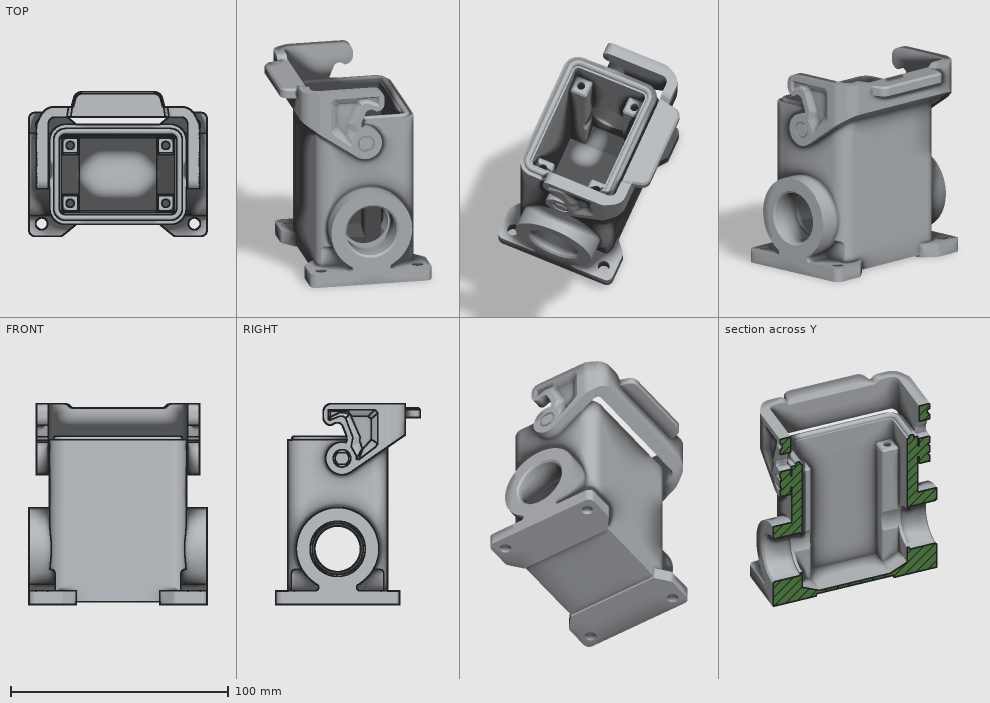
import cadquery as cq
import math

BODY_HALF_X = 31.2
BODY_MID_X = 31.6
BODY_HALF_Y = 23.0
BODY_BOTTOM = 1.2
BODY_TOP = 75.7
BODY_CORNER = 7.0

BEAD_TOP = 77.4
BEAD_WIDTH = 2.6
BEAD_OUTER_FILLET = 1.1
BEAD_INNER_FILLET = 1.4
RIM_MARGIN = 0.1

MOUTH_HALF_X = 27.0
MOUTH_HALF_Y = 18.5
SHOULDER_Z = 65.0
WELL_HALF_X = 26.1
WELL_HALF_Y = 17.7
SHOULDER_HALF_Y = 17.3
FLOOR_Z = 3.0
FLOOR_HALF_Y = 16.8
MOUTH_CORNER = 2.8
CAVITY_CORNER = 2.0
FLOOR_RAMP_X = 17.8
FLOOR_RAMP_ANGLE = 25.0

POST_X = 22.0
POST_Y = 13.3
POST_SIDE = 8.4
POST_CORNER = 1.2
POST_CHAMFER = 0.8
POST_HOLE_DIAMETER = 3.7
POST_HOLE_DEPTH = 15.0

RELIEF_X = 28.9
RELIEF_TANGENT_Z = 14.0

FOOT_END_X = 41.0
FOOT_INNER_X = 19.2
FOOT_HALF_Y = 28.5
FOOT_HEIGHT = 6.3
FOOT_CORNER = 3.0
FOOT_SLANT_X = 25.9
FOOT_SLANT_FILLET = 2.0
FOOT_HOLE_X = 35.1
FOOT_HOLE_Y = 22.7
FOOT_HOLE_DIAMETER = 5.4

ENTRY_Z = 25.6
ENTRY_RADIUS = 19.0
ENTRY_BORE_RADIUS = 11.8
ENTRY_CHAMFER = 0.9
ENTRY_STEP_X = 27.4
WALL_HOLE_RADIUS = 10.5
NECK_GROOVE_RADIUS = 1.55
NECK_HALF_Y = 10.3

LEVER_OUTER_X = 37.5
LEVER_INNER_X = 32.0
LEVER_BACK_Y = 31.1
LEVER_BACK_INNER_Y = 26.3
LEVER_TOP = 92.4
LEVER_BACK_BOTTOM = 78.0
LEVER_INNER_CORNER = 3.0
HOOK_TIP_Y = -6.7
HOOK_TOP_RADIUS = 3.9
HOOK_TOE_RADIUS = 3.7
HOOK_TOE_Z = 82.4
THROAT_Y = 4.2
THROAT_TOP_Z = 77.2
THROAT_LOW_Z = 75.5
EYE_JOIN_Y = 3.8

PIVOT_Y = 2.0
PIVOT_Z = 67.2
PIVOT_EYE_RADIUS = 7.5
PIN_RADIUS = 4.0
PIN_HEAD_RADIUS = 3.2
PIN_FLAT_HALF = 2.7
PIN_GAP_DEPTH = 0.6

POCKET_DEPTH = 2.0
HOOK_POCKET_DEPTH = 1.2

NOTCH_Z = 90.4
NOTCH_TOP_X = 24.3
NOTCH_BOTTOM_X = 21.0
NOTCH_FLARE = 0.7
NOTCH_ROLL_RUN = 1.5
NOTCH_ROLL_DROP = 0.4
TAB_TIP_Y = 38.0
TAB_TIP_X = 16.5
TAB_ROOT_X = 21.8
TAB_WAIST_X = 21.2
TAB_WAIST_Y = 32.0
TAB_SHOULDER_X = 20.3
TAB_SHOULDER_Y = 35.3
TAB_BOTTOM_Z = 85.9
TAB_CHAMFER = 0.9


def both_sides(shape):
    """A shape on the -X side together with its mirror image on the +X side."""
    return shape.union(shape.mirror("YZ"))


def rounded_block(half_x, half_y, z_low, z_high, corner):
    block = cq.Workplane("XY").workplane(offset=z_low).rect(2 * half_x, 2 * half_y)
    return block.extrude(z_high - z_low).edges("|Z").fillet(corner)


def rounded_loft(low, high):
    """Loft between two rounded rectangles, each (half_x, half_y, z)."""
    sections = []
    for half_x, half_y, z in (low, high):
        sketch = cq.Sketch().rect(2 * half_x, 2 * half_y).vertices().fillet(CAVITY_CORNER)
        sections.append(sketch.moved(cq.Location(cq.Vector(0, 0, z))))
    return cq.Workplane("XY").placeSketch(*sections).loft()


def side_extrude(outline, x_start, x_end):
    """Extrude a closed (y, z) outline between two x positions."""
    return outline(cq.Workplane("YZ").workplane(offset=x_start)).extrude(x_end - x_start)


def side_cylinder(radius, y, z, x_start, x_end):
    return side_extrude(lambda plane: plane.center(y, z).circle(radius), x_start, x_end)


def body_shell():
    """Housing block whose end walls swell slightly to the middle, with the bead on top."""
    outline = [
        (-BODY_HALF_X, -BODY_HALF_Y),
        (BODY_HALF_X, -BODY_HALF_Y),
        (BODY_MID_X, 0),
        (BODY_HALF_X, BODY_HALF_Y),
        (-BODY_HALF_X, BODY_HALF_Y),
        (-BODY_MID_X, 0),
    ]
    body = cq.Workplane("XY").workplane(offset=BODY_BOTTOM).polyline(outline).close()
    body = body.extrude(BODY_TOP - BODY_BOTTOM)
    body = body.edges("|Z and (>Y or <Y)").fillet(BODY_CORNER)
    bead = rounded_block(
        MOUTH_HALF_X + BEAD_WIDTH,
        MOUTH_HALF_Y + BEAD_WIDTH,
        BODY_TOP,
        BEAD_TOP,
        MOUTH_CORNER + BEAD_WIDTH,
    )
    mouth = rounded_block(MOUTH_HALF_X, MOUTH_HALF_Y, BODY_TOP, BEAD_TOP, MOUTH_CORNER)
    bead = bead.faces(">Z").edges().fillet(BEAD_OUTER_FILLET).cut(mouth)
    inner_rim = cq.selectors.BoxSelector(
        (-MOUTH_HALF_X - RIM_MARGIN, -MOUTH_HALF_Y - RIM_MARGIN, BEAD_TOP - RIM_MARGIN),
        (MOUTH_HALF_X + RIM_MARGIN, MOUTH_HALF_Y + RIM_MARGIN, BEAD_TOP + RIM_MARGIN),
    )
    return body.union(bead.edges(inner_rim).fillet(BEAD_INNER_FILLET))


def side_relief():
    """Recess low on the -X wall, closed at its top by a concave quarter round."""
    radius = BODY_HALF_X - RELIEF_X
    mid = radius * math.sqrt(0.5)
    profile = (
        cq.Workplane("XZ")
        .workplane(offset=-BODY_HALF_Y)
        .moveTo(-RELIEF_X, 0)
        .lineTo(-RELIEF_X, RELIEF_TANGENT_Z)
        .threePointArc(
            (-BODY_HALF_X + mid, RELIEF_TANGENT_Z + mid),
            (-BODY_HALF_X, RELIEF_TANGENT_Z + radius),
        )
        .lineTo(-BODY_HALF_X - radius, RELIEF_TANGENT_Z + radius)
        .lineTo(-BODY_HALF_X - radius, 0)
        .close()
    )
    return profile.extrude(2 * BODY_HALF_Y)


def foot():
    """Mounting foot on the -X side, slanted back to the housing wall, with two holes."""
    outline = [
        (-FOOT_END_X, -FOOT_HALF_Y),
        (-FOOT_SLANT_X, -FOOT_HALF_Y),
        (-FOOT_INNER_X, -BODY_HALF_Y),
        (-FOOT_INNER_X, BODY_HALF_Y),
        (-FOOT_SLANT_X, FOOT_HALF_Y),
        (-FOOT_END_X, FOOT_HALF_Y),
    ]
    plate = cq.Workplane("XY").polyline(outline).close().extrude(FOOT_HEIGHT)
    plate = plate.edges("|Z and <X").fillet(FOOT_CORNER)
    for end_y in (-FOOT_HALF_Y, FOOT_HALF_Y):
        corner = cq.selectors.NearestToPointSelector((-FOOT_SLANT_X, end_y, FOOT_HEIGHT / 2))
        plate = plate.edges(corner).fillet(FOOT_SLANT_FILLET)
    holes = [(-FOOT_HOLE_X, -FOOT_HOLE_Y), (-FOOT_HOLE_X, FOOT_HOLE_Y)]
    drills = cq.Workplane("XY").pushPoints(holes).circle(FOOT_HOLE_DIAMETER / 2).extrude(FOOT_HEIGHT)
    return plate.cut(drills)


def entry_boss():
    """Round cable entry on the -X side, standing on the foot through a grooved neck."""
    groove_z = FOOT_HEIGHT + NECK_GROOVE_RADIUS
    neck_top = groove_z + NECK_GROOVE_RADIUS
    depth = FOOT_END_X - RELIEF_X
    neck = cq.Workplane("XY").box(depth, 2 * NECK_HALF_Y, neck_top, centered=(False, True, False))
    neck = neck.translate((-FOOT_END_X, 0, 0))
    for y in (-NECK_HALF_Y, NECK_HALF_Y):
        neck = neck.cut(side_cylinder(NECK_GROOVE_RADIUS, y, groove_z, -FOOT_END_X, -RELIEF_X))
    boss_root_x = -WELL_HALF_X - CAVITY_CORNER
    return side_cylinder(ENTRY_RADIUS, 0, ENTRY_Z, -FOOT_END_X, boss_root_x).union(neck)


def entry_bore():
    """Chamfered bore of the -X entry, with the smaller hole through the cavity wall."""
    bore = side_cylinder(ENTRY_BORE_RADIUS, 0, ENTRY_Z, -FOOT_END_X, -ENTRY_STEP_X)
    wall_hole = side_cylinder(WALL_HOLE_RADIUS, 0, ENTRY_Z, -ENTRY_STEP_X, -FLOOR_RAMP_X)
    mouth = cq.Solid.makeCone(
        ENTRY_BORE_RADIUS + ENTRY_CHAMFER,
        ENTRY_BORE_RADIUS,
        ENTRY_CHAMFER,
        pnt=cq.Vector(-FOOT_END_X, 0, ENTRY_Z),
        dir=cq.Vector(1, 0, 0),
    )
    return bore.union(wall_hole).union(cq.Workplane(mouth))


def cavity():
    """Well below the bead, with a ramp rising from the floor to each end wall."""
    upper = rounded_loft(
        (WELL_HALF_X, SHOULDER_HALF_Y, SHOULDER_Z), (WELL_HALF_X, WELL_HALF_Y, BODY_TOP)
    )
    lower = rounded_loft(
        (WELL_HALF_X, FLOOR_HALF_Y, FLOOR_Z), (WELL_HALF_X, SHOULDER_HALF_Y, SHOULDER_Z)
    )
    ramp_rise = (WELL_HALF_X - FLOOR_RAMP_X) * math.tan(math.radians(FLOOR_RAMP_ANGLE))
    ramp = (
        cq.Workplane("XZ")
        .workplane(offset=-BODY_HALF_Y)
        .polyline(
            [
                (-WELL_HALF_X, FLOOR_Z),
                (-FLOOR_RAMP_X, FLOOR_Z),
                (-WELL_HALF_X, FLOOR_Z + ramp_rise),
            ]
        )
        .close()
        .extrude(2 * BODY_HALF_Y)
    )
    return upper.union(lower.cut(both_sides(ramp)))


def screw_posts():
    posts = cq.Workplane("XY")
    for x in (-POST_X, POST_X):
        for y in (-POST_Y, POST_Y):
            post = rounded_block(POST_SIDE / 2, POST_SIDE / 2, BODY_BOTTOM, SHOULDER_Z, POST_CORNER)
            post = post.faces(">Z").chamfer(POST_CHAMFER)
            post = post.faces(">Z").workplane().hole(POST_HOLE_DIAMETER, POST_HOLE_DEPTH)
            posts = posts.union(post.translate((x, y, 0)))
    return posts


def lever_side_profile():
    """Side outline of the lever: back wall, catch hook and pivot eye."""
    run = LEVER_BACK_Y - PIVOT_Y
    rise = LEVER_BACK_BOTTOM - PIVOT_Z
    tangent_angle = math.atan2(rise, run) - math.acos(PIVOT_EYE_RADIUS / math.hypot(run, rise))
    tangent = (
        PIVOT_Y + PIVOT_EYE_RADIUS * math.cos(tangent_angle),
        PIVOT_Z + PIVOT_EYE_RADIUS * math.sin(tangent_angle),
    )
    eye_join_z = PIVOT_Z + math.sqrt(PIVOT_EYE_RADIUS**2 - (EYE_JOIN_Y - PIVOT_Y) ** 2)
    throat_start = (-1.4, 83.3)
    throat_crown = (0.7, 83.4)
    throat_end = (2.1, 82.3)
    diagonal = math.sqrt(0.5)
    hook_top_centre = (HOOK_TIP_Y + HOOK_TOP_RADIUS, LEVER_TOP - HOOK_TOP_RADIUS)
    hook_toe_centre = (HOOK_TIP_Y + HOOK_TOE_RADIUS, HOOK_TOE_Z + HOOK_TOE_RADIUS)
    return lambda plane: (
        plane.moveTo(LEVER_BACK_Y, LEVER_BACK_BOTTOM)
        .lineTo(LEVER_BACK_Y, LEVER_TOP)
        .lineTo(hook_top_centre[0], LEVER_TOP)
        .threePointArc(
            (
                hook_top_centre[0] - HOOK_TOP_RADIUS * diagonal,
                hook_top_centre[1] + HOOK_TOP_RADIUS * diagonal,
            ),
            (HOOK_TIP_Y, hook_top_centre[1]),
        )
        .lineTo(HOOK_TIP_Y, hook_toe_centre[1])
        .threePointArc(
            (
                hook_toe_centre[0] - HOOK_TOE_RADIUS * diagonal,
                hook_toe_centre[1] - HOOK_TOE_RADIUS * diagonal,
            ),
            (hook_toe_centre[0], HOOK_TOE_Z),
        )
        .lineTo(*throat_start)
        .threePointArc(throat_crown, throat_end)
        .lineTo(THROAT_Y, THROAT_TOP_Z)
        .lineTo(THROAT_Y, THROAT_LOW_Z)
        .lineTo(EYE_JOIN_Y, eye_join_z)
        .threePointArc((PIVOT_Y - PIVOT_EYE_RADIUS, PIVOT_Z), tangent)
        .close()
    )


def lever_plan():
    """U-shaped plan of the lever, filled to its full height."""
    back_end = (29.8, LEVER_BACK_Y)
    upper_mid = (33.2, 29.85)
    flat_start = (35.5, 27.0)
    flat_end = (36.7, 24.8)
    lower_mid = (37.25, 23.6)
    arm_start = (LEVER_OUTER_X, 22.2)
    outer = (
        cq.Workplane("XY")
        .moveTo(LEVER_OUTER_X, -FOOT_HALF_Y)
        .lineTo(*arm_start)
        .threePointArc(lower_mid, flat_end)
        .lineTo(*flat_start)
        .threePointArc(upper_mid, back_end)
        .lineTo(0, LEVER_BACK_Y)
        .lineTo(0, -FOOT_HALF_Y)
        .close()
        .extrude(LEVER_TOP)
    )
    inner = (
        cq.Workplane("XY")
        .moveTo(-LEVER_INNER_X, -FOOT_HALF_Y)
        .lineTo(-LEVER_INNER_X, LEVER_BACK_INNER_Y)
        .lineTo(LEVER_INNER_X, LEVER_BACK_INNER_Y)
        .lineTo(LEVER_INNER_X, -FOOT_HALF_Y)
        .close()
        .extrude(LEVER_TOP)
        .edges("|Z and >Y")
        .fillet(LEVER_INNER_CORNER)
    )
    return both_sides(outer).cut(inner)


def tapered_pocket(rim, floor, depth):
    """Pocket in the outer -X face of the lever, lofted from its rim to its floor."""
    plane = cq.Workplane("YZ").workplane(offset=-LEVER_OUTER_X)
    return plane.polyline(rim).close().workplane(offset=depth).polyline(floor).close().loft(ruled=True)


def lever_pockets():
    """Sloped pocket in the lever arm and the shallower one running into the hook, as (y, z) outlines."""
    main_rim = [
        (17.2, 72.3),
        (18.5, 73.9),
        (18.5, 88.0),
        (17.1, 89.6),
        (3.9, 89.6),
        (3.65, 85.7),
        (7.0, 76.9),
        (6.2, 72.6),
        (8.5, 68.6),
        (8.6, 66.9),
        (9.7, 66.6),
    ]
    main_floor = [
        (14.6, 74.9),
        (15.4, 76.0),
        (15.4, 85.4),
        (14.0, 86.5),
        (6.5, 86.5),
        (6.3, 86.2),
        (10.3, 77.0),
        (10.2, 75.0),
        (11.2, 72.1),
        (11.3, 71.8),
        (11.6, 71.6),
    ]
    hook_rim = [
        (5.0, 89.6),
        (-4.3, 89.6),
        (-4.3, 85.2),
        (-3.7, 84.7),
        (0.8, 86.6),
        (2.5, 86.6),
        (3.65, 85.7),
        (5.0, 85.0),
    ]
    hook_floor = [
        (5.0, 88.8),
        (-3.5, 88.8),
        (-3.5, 86.5),
        (-3.2, 86.3),
        (0.5, 88.1),
        (2.8, 88.2),
        (4.0, 88.0),
        (5.0, 87.6),
    ]
    main = tapered_pocket(main_rim, main_floor, POCKET_DEPTH)
    return main.union(tapered_pocket(hook_rim, hook_floor, HOOK_POCKET_DEPTH))


def top_notch():
    """Dip in the top of the lever's back wall, wider at the inner face, with rolled shoulders."""
    depth = LEVER_BACK_Y - LEVER_BACK_INNER_Y
    outlines = []
    for flare in (0, NOTCH_FLARE):
        half = [
            (NOTCH_BOTTOM_X + flare, NOTCH_Z),
            (NOTCH_TOP_X + flare - NOTCH_ROLL_RUN, LEVER_TOP - NOTCH_ROLL_DROP),
            (NOTCH_TOP_X + flare, LEVER_TOP),
        ]
        outlines.append([(-x, z) for x, z in reversed(half)] + half)
    outer, inner = outlines
    notch = cq.Workplane("XZ").workplane(offset=-LEVER_BACK_Y).polyline(outer).close()
    return notch.workplane(offset=depth).polyline(inner).close().loft(ruled=True)


def pull_tab():
    """Tab behind the notch, narrowing to rounded corners, chamfered around its top."""
    corner_mid = (18.9, 37.2)
    half = (
        cq.Workplane("XY")
        .workplane(offset=TAB_BOTTOM_Z)
        .moveTo(0, LEVER_BACK_INNER_Y)
        .lineTo(-TAB_ROOT_X, LEVER_BACK_INNER_Y)
        .lineTo(-TAB_WAIST_X, TAB_WAIST_Y)
        .lineTo(-TAB_SHOULDER_X, TAB_SHOULDER_Y)
        .threePointArc((-corner_mid[0], corner_mid[1]), (-TAB_TIP_X, TAB_TIP_Y))
        .lineTo(0, TAB_TIP_Y)
        .close()
        .extrude(NOTCH_Z - TAB_BOTTOM_Z)
    )
    tab = both_sides(half).clean()
    return tab.faces(">Z").edges("not(<Y)").chamfer(TAB_CHAMFER)


def pivot_gap():
    """Ring-shaped gap around the flatted head of the -X pivot pin."""
    end_x = -LEVER_OUTER_X + PIN_GAP_DEPTH
    flats = side_extrude(
        lambda plane: plane.center(PIVOT_Y, PIVOT_Z).rect(2 * PIN_RADIUS, 2 * PIN_FLAT_HALF),
        -LEVER_OUTER_X,
        end_x,
    )
    head = side_cylinder(PIN_HEAD_RADIUS, PIVOT_Y, PIVOT_Z, -LEVER_OUTER_X, end_x).intersect(flats)
    return side_cylinder(PIN_RADIUS, PIVOT_Y, PIVOT_Z, -LEVER_OUTER_X, end_x).cut(head)


def lever():
    profile = side_extrude(lever_side_profile(), -LEVER_OUTER_X, LEVER_OUTER_X)
    frame = lever_plan().intersect(profile)
    frame = frame.cut(both_sides(lever_pockets())).cut(top_notch()).union(pull_tab())
    pin = side_cylinder(PIN_RADIUS, PIVOT_Y, PIVOT_Z, -LEVER_OUTER_X, -RELIEF_X)
    return frame.union(both_sides(pin)).cut(both_sides(pivot_gap()))


housing = body_shell().cut(both_sides(side_relief()))
housing = housing.union(both_sides(foot())).union(both_sides(entry_boss()))
housing = housing.cut(cavity()).union(screw_posts()).cut(both_sides(entry_bore()))

result = housing.union(lever())